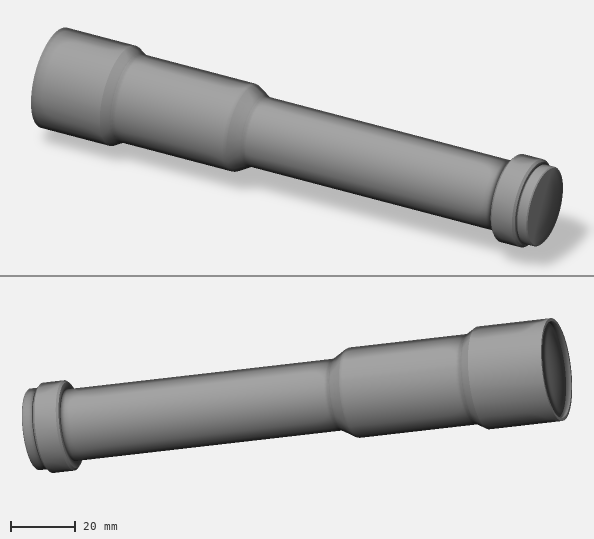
import cadquery as cq
import math

total_length = 169.5
head_radius = 16.02
body_radius = 14.0
tube_radius = 11.2
collar_radius = body_radius
tip_radius = 12.7
neck_radius = 12.2

head_end = 23.7
body_end = 65.8
collar_start = 157.3
collar_end = 165.6
tip_start = 166.1

shoulder_angle = math.radians(30)
shoulder_blend = 2.0
collar_chamfer = 0.7
tip_chamfer = 0.3

recess_radius = 15.1
recess_depth = 1.7


def shoulder_length(large_radius, small_radius):
    """Axial length of a cone between two radii."""
    return (large_radius - small_radius) / math.tan(shoulder_angle)


def cylinder(start, end, radius):
    """Solid cylinder on the X axis."""
    return cq.Workplane("YZ", origin=(start, 0, 0)).circle(radius).extrude(end - start)


def make_barrel():
    """Head, body and tube joined by conical shoulders with blended edges."""
    body_start = head_end + shoulder_length(head_radius, body_radius)
    tube_start = body_end + shoulder_length(body_radius, tube_radius)
    profile = (
        cq.Workplane("XY")
        .moveTo(0, 0)
        .lineTo(0, head_radius)
        .lineTo(head_end, head_radius)
        .lineTo(body_start, body_radius)
        .lineTo(body_end, body_radius)
        .lineTo(tube_start, tube_radius)
        .lineTo(collar_start, tube_radius)
        .lineTo(collar_start, 0)
        .close()
    )
    barrel = profile.revolve(360, (0, 0, 0), (1, 0, 0))
    shoulder_zone = cq.selectors.BoxSelector(
        (head_end / 2, -head_radius, -head_radius),
        ((tube_start + collar_start) / 2, head_radius, head_radius),
        boundingbox=True,
    )
    return barrel.edges("%CIRCLE").edges(shoulder_zone).fillet(shoulder_blend)


def make_collar():
    return cylinder(collar_start, collar_end, collar_radius).edges("%CIRCLE").chamfer(collar_chamfer)


def make_tip():
    return cylinder(tip_start, total_length, tip_radius).faces(">X").edges().chamfer(tip_chamfer)


neck = cylinder(collar_end, tip_start, neck_radius)
recess = cylinder(0, recess_depth, recess_radius)
result = make_barrel().union(make_collar()).union(neck).union(make_tip()).cut(recess)